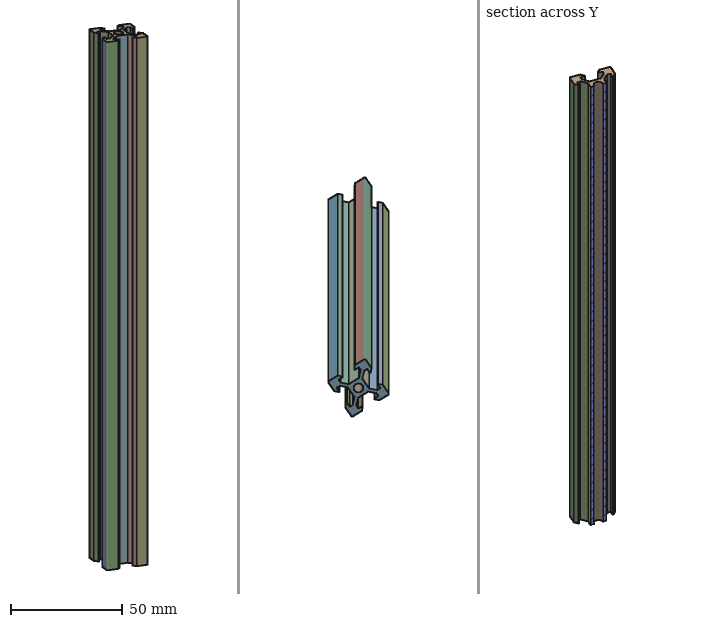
import cadquery as cq
import math

length = 250.0
width = 20.0
bore_diameter = 4.2
corner_radius = 0.5

mouth_width = 9.2
throat_width = 6.2
lip_depth = 1.88
chamber_width = 10.8
core_width = 7.8
web_thickness = 1.6

half_width = width / 2
half_mouth = mouth_width / 2
half_throat = throat_width / 2
bevel_depth = half_mouth - half_throat
half_core = core_width / 2
half_chamber = chamber_width / 2
web_offset = web_thickness / math.sqrt(2)


def slot_cutter(angle):
    """V-mouthed T-slot opening on the +Y side, turned about Z by the given angle."""
    half_outline = [
        (half_core - web_offset, half_core),
        (half_chamber, half_chamber + web_offset),
        (half_chamber, half_width - lip_depth),
        (half_throat, half_width - lip_depth),
        (half_throat, half_width - bevel_depth),
        (half_mouth, half_width),
    ]
    mirrored_half = [(-x, y) for x, y in reversed(half_outline)]
    slot = cq.Workplane("XY").polyline(half_outline + mirrored_half).close().extrude(length)
    return slot.rotate((0, 0, 0), (0, 0, 1), angle)


result = cq.Workplane("XY").rect(width, width).extrude(length)
result = result.edges("|Z").fillet(corner_radius)

for angle in (0, 90, 180, 270):
    result = result.cut(slot_cutter(angle))

bore = cq.Workplane("XY").circle(bore_diameter / 2).extrude(length)
result = result.cut(bore)